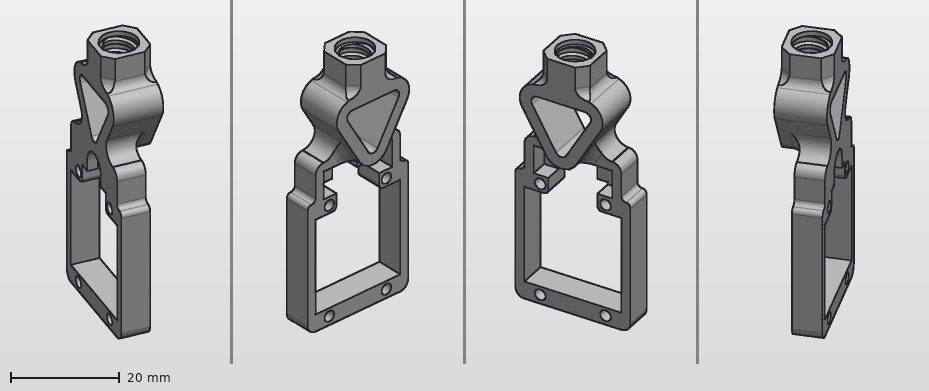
import cadquery as cq
import math


total_height = 56.96
head_depth = 10.0
plate_depth = 5.8

frame_width = 24.72
window_width = 20.8
window_bottom = 3.75
window_top = 24.35
frame_bottom_radius = 2.0
frame_shoulder_z = 28.06
shoulder_radius = (frame_width - window_width) / 4

notch_width = 10.5
notch_top = 28.45
notch_corner_radius = 1.0
slot_width = 6.0
slot_top = 34.0

web_thickness = 2.1
pocket_bottom = 27.97
pocket_width = 16.8

screw_hole_diameter = 2.3
screw_hole_spacing = 14.0
screw_hole_rows = (1.97, 26.1)

upper_body_top = 35.95
upper_body_radius = 2.0
waist_radius = 3.0

corner_offset = 5.1
corner_z = 46.66
head_corner_radius = 3.8
opening_corner_radius = 1.3
slope = math.radians(60)
tip_z = corner_z - corner_offset * math.tan(slope)
head_top = corner_z + head_corner_radius
back_fillet_radius = 2.0
selection_margin = 0.1

neck_width = 10.0
neck_chamfer = 2.0
neck_fillet_radius = 2.0

bore_diameter = 6.1
thread_diameter = 7.4
thread_pitch = 2.5
groove_root_width = 1.0
groove_flank_height = 0.35
mouth_diameter = 7.5
mouth_depth = 1.0
first_groove_depth = 1.8
groove_turns_below = 3
groove_turns = 4.5
groove_overlap = 0.2



def front_plane():
    return cq.Workplane("XZ")


def prism(outline, depth):
    """Extrude an outline on the XZ plane from the front face toward +Y."""
    return outline.extrude(-depth)


def arc_point(center, radius, degrees):
    """Point on a circle at an angle measured from +X."""
    angle = math.radians(degrees)
    return (center[0] + radius * math.cos(angle), center[1] + radius * math.sin(angle))


def rounded_triangle(radius, depth):
    """Triangle of corner centres grown outward by radius, with round corners."""
    corners = [(-corner_offset, corner_z), (corner_offset, corner_z), (0, tip_z)]
    return prism(front_plane().polyline(corners).close().offset2D(radius), depth)


def plate_solid(depth):
    """Frame and upper body as a solid outline, up to the waist below the head."""
    foot = (frame_width / 2 - frame_bottom_radius, frame_bottom_radius)
    step_x = window_width / 2 + shoulder_radius
    step_low = (step_x, frame_shoulder_z - shoulder_radius)
    step_high = (step_x, frame_shoulder_z + shoulder_radius)
    body = (window_width / 2 - upper_body_radius, upper_body_top - upper_body_radius)
    waist_z = upper_body_top + waist_radius
    waist_x = (
        corner_offset
        + (head_corner_radius + waist_radius) / math.sin(slope)
        - (corner_z - waist_z) / math.tan(slope)
    )
    waist = (waist_x, waist_z)
    waist_end = arc_point(waist, waist_radius, 90 + math.degrees(slope))

    half = (
        front_plane()
        .lineTo(foot[0], 0)
        .threePointArc(
            arc_point(foot, frame_bottom_radius, -45), arc_point(foot, frame_bottom_radius, 0)
        )
        .lineTo(frame_width / 2, step_low[1])
        .threePointArc(arc_point(step_low, shoulder_radius, 45), (step_x, frame_shoulder_z))
        .threePointArc(
            arc_point(step_high, shoulder_radius, 225), arc_point(step_high, shoulder_radius, 180)
        )
        .lineTo(window_width / 2, body[1])
        .threePointArc(
            arc_point(body, upper_body_radius, 45), arc_point(body, upper_body_radius, 90)
        )
        .lineTo(waist_x, upper_body_top)
        .threePointArc(arc_point(waist, waist_radius, 210), waist_end)
        .lineTo(0, waist_end[1])
    )
    return prism(half.mirrorY(), depth)


def back_fillet():
    """Fillet where the head stands proud of the plate's back face, kept within the plate outline."""
    slab = prism(front_plane().rect(4 * frame_width, 4 * total_height), plate_depth)
    head = rounded_triangle(head_corner_radius, head_depth)
    joint = cq.selectors.BoxSelector(
        (-frame_width / 2, plate_depth - selection_margin, 0),
        (frame_width / 2, plate_depth + selection_margin, total_height),
    )
    blend = slab.union(head).edges(joint).fillet(back_fillet_radius)
    return blend.intersect(plate_solid(head_depth))


def neck_corner_cutter(side, end):
    """Removes one vertical corner of the neck, leaving a fillet above the head."""
    r = neck_fillet_radius
    corner = neck_width / 2 - neck_chamfer / 2
    plane = cq.Plane(
        origin=(side * corner, head_depth / 2 + end * corner, head_top),
        xDir=(side, end, 0),
        normal=(end, -side, 0),
    )
    rise = total_height - head_top
    return (
        cq.Workplane(plane)
        .moveTo(0, rise)
        .lineTo(0, r)
        .threePointArc(arc_point((r, r), r, 225), (r, 0))
        .lineTo(neck_width, 0)
        .lineTo(neck_width, rise)
        .close()
        .extrude(neck_width, both=True)
    )


def neck():
    """Octagonal neck flaring into the head."""
    r = neck_fillet_radius
    corner_center = (corner_offset, corner_z)
    fillet_x = neck_width / 2 + r
    reach = head_corner_radius + r
    fillet_z = corner_z + math.sqrt(reach**2 - (fillet_x - corner_offset) ** 2)
    fillet_center = (fillet_x, fillet_z)
    lean = math.degrees(math.atan2(fillet_z - corner_z, fillet_x - corner_offset))
    half = (
        front_plane()
        .moveTo(0, corner_z)
        .lineTo(*corner_center)
        .lineTo(*arc_point(corner_center, head_corner_radius, lean))
        .threePointArc(
            arc_point(fillet_center, r, 180 + lean / 2), arc_point(fillet_center, r, 180)
        )
        .lineTo(neck_width / 2, total_height)
        .lineTo(0, total_height)
    )
    body = prism(half.mirrorY(), head_depth)
    for side in (-1, 1):
        for end in (-1, 1):
            body = body.cut(neck_corner_cutter(side, end))
    return body


def window_cutter():
    """Window with the stepped notch and the round-topped slot above it."""
    window = prism(
        front_plane()
        .center(0, (window_bottom + window_top) / 2)
        .rect(window_width, window_top - window_bottom),
        head_depth,
    )
    r = notch_corner_radius
    slot_center = (0, slot_top - slot_width / 2)
    flare = (notch_width / 2 + r, window_top + r)
    half = (
        front_plane()
        .moveTo(0, window_top)
        .lineTo(flare[0], window_top)
        .threePointArc(arc_point(flare, r, 225), arc_point(flare, r, 180))
        .lineTo(notch_width / 2, notch_top)
        .lineTo(slot_width / 2, notch_top)
        .lineTo(slot_width / 2, slot_center[1])
        .threePointArc(arc_point(slot_center, slot_width / 2, 45), (0, slot_top))
    )
    return window.union(prism(half.mirrorY(), head_depth))


def back_pocket():
    """Pocket behind a thin front web, below the tip of the head."""
    height = slot_top - pocket_bottom
    return (
        cq.Workplane("XY", origin=(0, web_thickness, pocket_bottom))
        .box(pocket_width, head_depth, height, centered=(True, False, False))
    )


def screw_holes():
    points = [(side * screw_hole_spacing / 2, z) for side in (-1, 1) for z in screw_hole_rows]
    return prism(front_plane().pushPoints(points).circle(screw_hole_diameter / 2), head_depth)


def bore_cylinder(diameter, depth):
    """Cylinder on the neck's axis, sunk from the top face."""
    top = cq.Workplane("XY", origin=(0, head_depth / 2, total_height))
    return top.circle(diameter / 2).extrude(-depth)


def thread_groove():
    """Helical groove rising from inside the triangular opening past the mouth of the bore."""
    start_z = total_height - first_groove_depth - groove_turns_below * thread_pitch
    inner = bore_diameter / 2 - groove_overlap
    outer = thread_diameter / 2
    root_half = groove_root_width / 2
    inner_half = root_half + groove_flank_height * (outer - inner) / (outer - bore_diameter / 2)
    path = cq.Workplane(
        cq.Wire.makeHelix(thread_pitch, groove_turns * thread_pitch, bore_diameter / 2)
    )
    groove = (
        cq.Workplane("XZ")
        .polyline(
            [(inner, -inner_half), (outer, -root_half), (outer, root_half), (inner, inner_half)]
        )
        .close()
        .sweep(path, isFrenet=True)
    )
    return groove.translate((0, head_depth / 2, start_z))


result = (
    plate_solid(plate_depth)
    .union(rounded_triangle(head_corner_radius, head_depth))
    .union(back_fillet())
    .cut(back_pocket())
    .union(neck())
    .cut(window_cutter())
    .cut(screw_holes())
    .cut(rounded_triangle(opening_corner_radius, head_depth))
    .cut(thread_groove())
    .cut(bore_cylinder(bore_diameter, total_height - corner_z))
    .cut(bore_cylinder(mouth_diameter, mouth_depth))
)